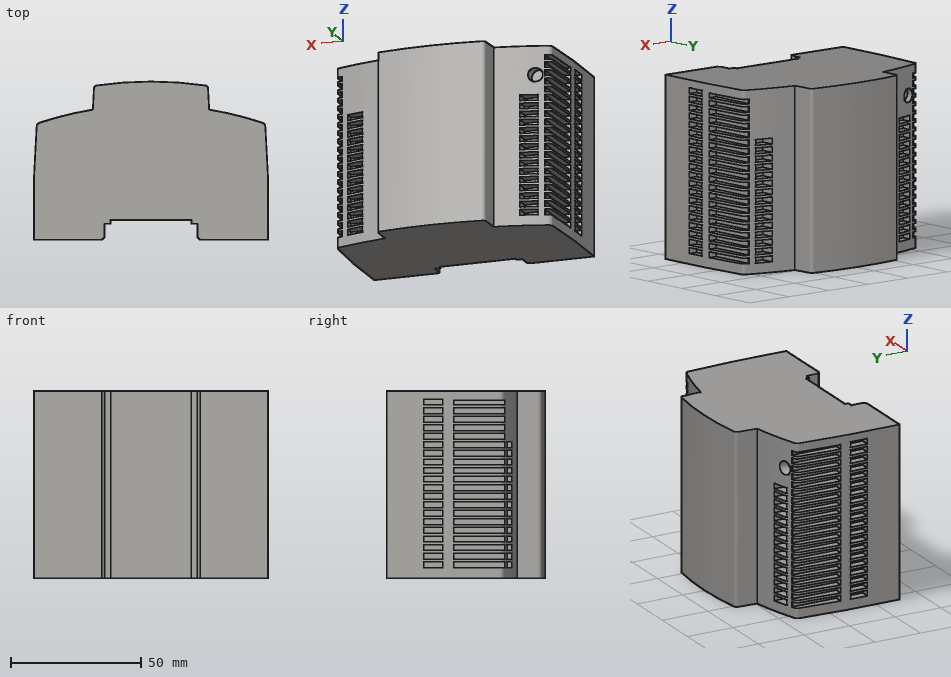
import cadquery as cq
import math

width = 90.0
depth = 60.8
height = 72.0
draft = 3.0

base_depth = 23.1
shoulder_radius = 135.0
shoulder_crown = 51.9
shoulder_fillet = 1.8
head_width = 44.7
head_radius = 144.0
head_fillet = 1.35

notch_width = 35.6
notch_depth = 6.1
notch_chamfer = 1.0
recess_width = 31.0
recess_depth = 7.65

vent_rows = 20
vent_pitch = 3.285
vent_height = 2.25
first_vent_z = 5.3
vent_cut = 3.6
base_vent_y = (14.2, 21.4)
cover_vent_y = (25.7, 45.3)
cover_vent_top = 68.4
shoulder_vent_x = (32.2, 38.9)
shoulder_vent_rows = 15

hole_diameter = 5.5
hole_x = -38.0
hole_z = 60.4
hole_depth = 3.6


def shoulder_y(x):
    """Y of the shoulder arc at a given X."""
    return shoulder_crown - shoulder_radius + math.sqrt(shoulder_radius**2 - x**2)


def head_y(x):
    """Y of the head arc at a given X."""
    return depth - head_radius + math.sqrt(head_radius**2 - x**2)


def drafted_block(half_width, start_y, arc_y):
    """Block with side walls drafted inward from start_y and an arc as its +Y side."""
    passes = 8
    top_half = half_width
    for _ in range(passes):
        top_half = half_width - (arc_y(top_half) - start_y) * math.tan(math.radians(draft))
    top_y = arc_y(top_half)
    return (
        cq.Workplane("XY")
        .moveTo(-half_width, start_y)
        .lineTo(half_width, start_y)
        .lineTo(top_half, top_y)
        .threePointArc((0, arc_y(0)), (-top_half, top_y))
        .close()
        .extrude(height)
    )


def box(x_range, y_range, z_range):
    """Box spanning the given (low, high) ranges."""
    sizes = [high - low for low, high in (x_range, y_range, z_range)]
    return cq.Workplane("XY").box(*sizes, centered=False).translate((x_range[0], y_range[0], z_range[0]))


def housing():
    base = box((-width / 2, width / 2), (0, base_depth), (0, height))
    cover = drafted_block(width / 2, base_depth, shoulder_y).faces(">Y").edges("|Z").fillet(shoulder_fillet)
    head_start = shoulder_y(head_width / 2)
    head = drafted_block(head_width / 2, head_start, head_y).faces(">Y").edges("|Z").fillet(head_fillet)
    return base.union(cover).union(head)


def rail_notch():
    half_notch = notch_width / 2
    half_recess = recess_width / 2
    half_mouth = half_notch + notch_chamfer
    return (
        cq.Workplane("XY")
        .moveTo(-half_mouth, 0)
        .lineTo(-half_notch, notch_chamfer)
        .lineTo(-half_notch, notch_depth)
        .lineTo(-half_recess, notch_depth)
        .lineTo(-half_recess, recess_depth)
        .lineTo(half_recess, recess_depth)
        .lineTo(half_recess, notch_depth)
        .lineTo(half_notch, notch_depth)
        .lineTo(half_notch, notch_chamfer)
        .lineTo(half_mouth, 0)
        .close()
        .extrude(height)
    )


def left_vents():
    """Slots in the left wall, plus those in the left shoulder on the lower rows."""
    side_x = (-width / 2, -width / 2 + vent_cut)
    shoulder_x = (-shoulder_vent_x[1], -shoulder_vent_x[0])
    shoulder_vent_y = (shoulder_y(shoulder_vent_x[1]) - vent_cut, depth)
    vents = cq.Workplane("XY")
    for row in range(vent_rows):
        center_z = first_vent_z + row * vent_pitch
        row_z = (center_z - vent_height / 2, center_z + vent_height / 2)
        vents = vents.add(box(side_x, base_vent_y, row_z))
        cover_z = (row_z[0], min(row_z[1], cover_vent_top))
        vents = vents.add(box(side_x, cover_vent_y, cover_z))
        if row < shoulder_vent_rows:
            vents = vents.add(box(shoulder_x, shoulder_vent_y, row_z))
    return vents.combine()


def shoulder_hole():
    bottom_y = shoulder_y(hole_x) - hole_depth
    return (
        cq.Workplane("XZ", origin=(hole_x, bottom_y, hole_z))
        .circle(hole_diameter / 2)
        .extrude(bottom_y - depth)
    )


vents = left_vents()
result = housing().cut(rail_notch()).cut(vents).cut(vents.mirror("YZ")).cut(shoulder_hole())